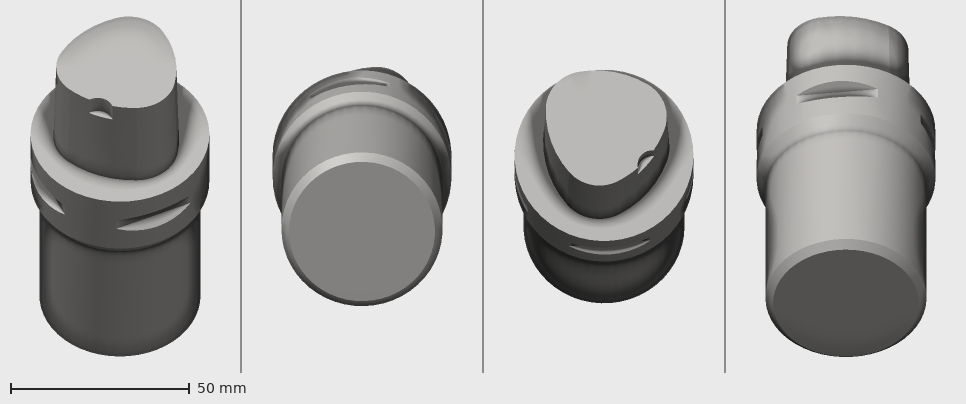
import cadquery as cq
import math

total_height = 101.0
shank_height = 30.0
collar_height = 20.0
cone_height = 4.3
collar_top = total_height - shank_height
collar_bottom = collar_top - collar_height
cone_bottom = collar_bottom - cone_height

collar_radius = 50.0 / 2
body_radius = 45.0 / 2
end_chamfer = 2.1

lobe_reach = 18.7
flank_reach = 16.4
lobe_offset = 6.9
shank_taper = 1 / 40

keyway_radius = 4.2
keyway_back = 13.7
keyway_depth = 5.6

notch_count = 4
notch_first_angle = 45
notch_z = 61.1
notch_floor_height = 3.4
notch_floor_distance = 22.2
notch_side_angle = 30


def polar(radius, degrees):
    angle = math.radians(degrees)
    return radius * math.cos(angle), radius * math.sin(angle)


def make_body():
    """Collar, cone and cylindrical body turned about Z."""
    profile = [
        (0, 0),
        (body_radius - end_chamfer, 0),
        (body_radius, end_chamfer),
        (body_radius, cone_bottom),
        (collar_radius, collar_bottom),
        (collar_radius, collar_top),
        (0, collar_top),
    ]
    return cq.Workplane("XZ").polyline(profile).close().revolve(360, (0, 0), (0, 1))


def shank_outline(inset, z):
    """Three small lobe arcs joined tangentially by three large flank arcs."""
    lobe_radius = lobe_reach - lobe_offset
    gap = lobe_reach - flank_reach
    flank_offset = (2 * gap * lobe_offset - gap**2) / (lobe_offset - 2 * gap)
    flank_radius = flank_reach + flank_offset
    half_lobe_angle = math.degrees(math.atan2(
        flank_offset * math.sin(math.radians(60)),
        lobe_offset + flank_offset * math.cos(math.radians(60)),
    ))

    def join(lobe_angle, side):
        center_x, center_y = polar(lobe_offset, lobe_angle)
        dx, dy = polar(lobe_radius - inset, lobe_angle + side * half_lobe_angle)
        return center_x + dx, center_y + dy

    outline = cq.Workplane("XY", origin=(0, 0, z)).moveTo(*join(90, -1))
    for lobe_angle in (90, 210, 330):
        lobe_tip = polar(lobe_reach - inset, lobe_angle)
        flank_middle = polar(flank_reach - inset, lobe_angle + 60)
        outline = outline.threePointArc(lobe_tip, join(lobe_angle, 1))
        outline = outline.threePointArc(flank_middle, join(lobe_angle + 120, -1))
    return outline.close().val()


def make_shank():
    base = shank_outline(0, collar_top)
    top = shank_outline(shank_height * shank_taper, total_height)
    return cq.Workplane(cq.Solid.makeLoft([base, top], True))


def make_keyway():
    return (
        cq.Workplane("XY", origin=(0, -keyway_back - keyway_radius, total_height - keyway_depth))
        .circle(keyway_radius)
        .extrude(keyway_depth)
    )


def make_notch(angle):
    """Flat-floored notch with flared upper and lower sides, facing the given angle."""
    half_floor = notch_floor_height / 2
    flare = (collar_radius - notch_floor_distance) * math.tan(math.radians(notch_side_angle))
    profile = [
        (notch_floor_distance, notch_z - half_floor),
        (collar_radius, notch_z - half_floor - flare),
        (collar_radius, notch_z + half_floor + flare),
        (notch_floor_distance, notch_z + half_floor),
    ]
    cutter = cq.Workplane("XZ").polyline(profile).close().extrude(collar_radius, both=True)
    return cutter.rotate((0, 0, 0), (0, 0, 1), angle)


result = make_body().union(make_shank()).cut(make_keyway())
for index in range(notch_count):
    result = result.cut(make_notch(notch_first_angle + index * 360 / notch_count))